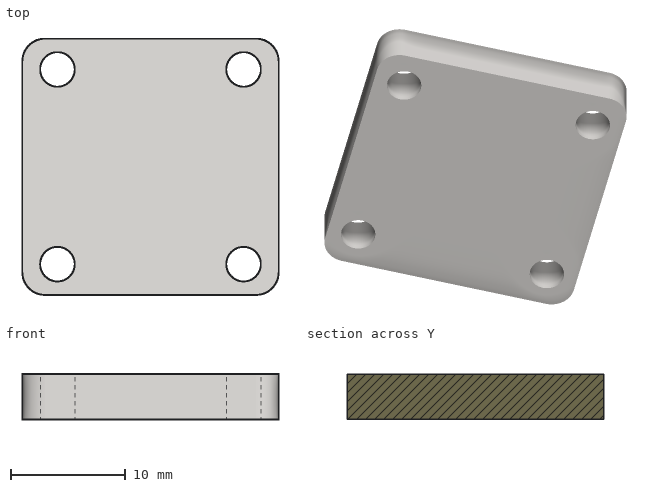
import cadquery as cq

side = 22.4
thickness = 4.0
corner_radius = 2.0

hole_diameter = 3.0
hole_spacing_x = 16.25
hole_spacing_y = 17.0


def rounded_plate():
    """Square plate resting on Z = 0, with rounded vertical corners."""
    plate = cq.Workplane("XY").box(side, side, thickness, centered=(True, True, False))
    return plate.edges("|Z").fillet(corner_radius)


def drill_corner_holes(plate):
    """Drill the four holes through the full thickness of the plate."""
    return (
        plate.faces(">Z")
        .workplane(origin=(0, 0, thickness))
        .rarray(hole_spacing_x, hole_spacing_y, 2, 2)
        .hole(hole_diameter)
    )


result = drill_corner_holes(rounded_plate())